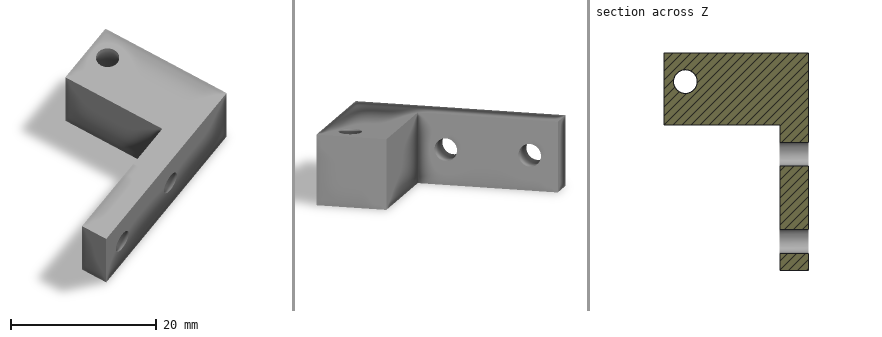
import cadquery as cq

length_x = 20.0
length_y = 30.0
height = 10.0
block_depth = 10.0
arm_thickness = 4.0
hole_diameter = 3.2

block_hole_from_end = 3.0
block_hole_from_back = 4.0
arm_hole_from_tip = 4.0
arm_hole_spacing = 12.0
arm_hole_count = 2

block_front_y = length_y - block_depth
arm_inner_x = length_x - arm_thickness


def make_body():
    """L-shaped bracket: a block along X with a thin arm reaching toward -Y."""
    block = cq.Workplane("XY").box(length_x, block_depth, height, centered=False)
    block = block.translate((0, block_front_y, 0))
    arm = cq.Workplane("XY").box(arm_thickness, length_y, height, centered=False)
    return block.union(arm.translate((arm_inner_x, 0, 0)))


def make_block_hole():
    """Vertical through hole near the free end of the block."""
    center = (block_hole_from_end, length_y - block_hole_from_back)
    return cq.Workplane("XY").center(*center).circle(hole_diameter / 2).extrude(height)


def make_arm_holes():
    """Through holes along X at mid-height of the arm."""
    centers = [(arm_hole_from_tip + i * arm_hole_spacing, height / 2) for i in range(arm_hole_count)]
    plane = cq.Workplane("YZ", origin=(arm_inner_x, 0, 0))
    return plane.pushPoints(centers).circle(hole_diameter / 2).extrude(arm_thickness)


result = make_body().cut(make_block_hole()).cut(make_arm_holes())